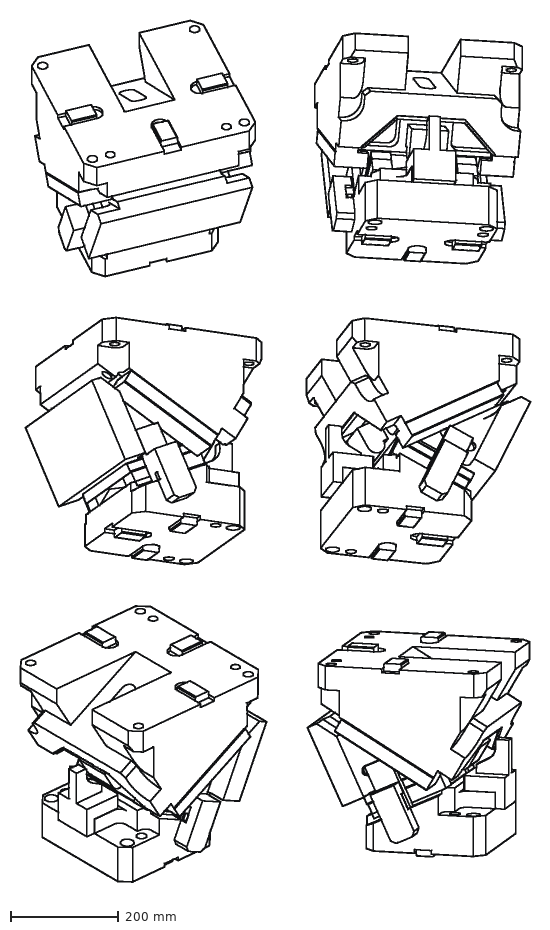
import cadquery as cq
import math


GUIDE_ANGLE = math.radians(30)
CAM_ANGLE = math.radians(25)
BIG = 744.0

TOTAL_HEIGHT = 372.0
KEY_HEIGHT = 7.8
KEY_DEPTH = 7.0
KEY_WIDTH = 33.5
KEY_LENGTH = 50.0
KEY_BEVEL = 2.0
CORNER_CHAMFER = 19.5
POCKET_RADIUS = 16.0

HOLDER_X_MIN = 4.0
HOLDER_X_MAX = 329.5
HOLDER_HALF_WIDTH = 170.0
HOLDER_TOP = TOTAL_HEIGHT - KEY_HEIGHT
FLANGE_THICKNESS = 45.5
BOLT_POCKET_LENGTH = 45.8
BOLT_POCKET_INNER_Y = 130.0

GUIDE_ORIGIN = (66.0, 0, 160.5)
LIP_THICKNESS = 32.0
LIP_TOP_V = 108.5
LIP_CHAMFER_LENGTH = 8.5
LIP_CHAMFER_INSET = 10.0
SCALLOP_RADIUS = 34.5
SCALLOP_DROP = 24.0
SCALLOP_CENTRE_V = LIP_TOP_V - SCALLOP_DROP
STRIP_TOP_V = -15.5
STRIP_BOTTOM_V = -44.3
STRIP_END_U = 237.0
STRIP_INNER_Y = 107.0
STRIP_BEVEL = 1.5
STOP_U = 247.5
STOP_BOTTOM_V = -25.5
ENTRY_ROOF_V = 65.0
ENTRY_DEPTH = 3.7
ROOF_V = 58.0
ROOF_HALF_WIDTH = 63.5
FLANK_HALF_WIDTH = 127.0
HOLDER_FRONT_HOLE_X = 29.8
HOLDER_REAR_HOLE_X = 304.3
HOLDER_BOLT_Y = 150.3
HOLDER_BOLT_RADIUS = 9.3
HOLDER_DOWEL_Y = 115.0
HOLDER_DOWEL_RADIUS = 8.5
HOLDER_KEY_X = 185.0
HOLDER_SIDE_KEY_GAP = 15.5
HOLDER_REAR_KEY_GAP = 20.5
TROUGH_HALF_WIDTH = 49.5
TROUGH_SLOT_U = 110.5
TROUGH_SLOT_LENGTH = 100.5
TROUGH_SLOT_WIDTH = 30.5
TROUGH_SLOT_DEPTH = 41.5

CAM_ORIGIN = (150.3, 0, 156.5)
SLIDE_FRONT_U = 48.5
SLIDE_REAR_U = 235.0
SLIDE_REAR_FILLET = 15.0
SLIDE_HALF_WIDTH = 106.5
PLATE_HALF_WIDTH = 150.0
PLATE_FRONT_P = 100.8
PLATE_REAR_P = 146.2
PLATE_HEIGHT = 161.0
PLATE_FILLET = 14.5
PLATE_SHOULDER_V = -56.5
PAD_THICKNESS = 18.5
PAD_HALF_WIDTH = 99.7
PAD_FRONT_P = -37.2
PAD_REAR_P = 118.0
RELIEF_HALF_WIDTH = 62.0
RELIEF_DEPTH = 6.0
PAD_BEVEL = 2.0
RIDGE_Q = -21.5
VALLEY_Q = -37.2
NOSE_HALF_WIDTH = 35.0
NOSE_FRONT_U = 3.5
NOSE_THICKNESS = 35.0
NOSE_TOP_V = 41.3
NOSE_TIP_V = -18.2
FRONT_POCKET_INNER_Y = 50.2
FRONT_POCKET_FLOOR_V = -3.7
FRONT_POCKET_DEPTH = 34.5

HOOK_FRONT_P = 34.5
HOOK_REAR_P = 84.5
HOOK_TOP_Q = 50.5
HOOK_BOTTOM_Q = -102.0
HOOK_INNER_Y = 103.0
HOOK_UPPER_Y = 121.5
HOOK_OUTER_Y = 159.5
HOOK_CORNER = 8.0
HOOK_RECESS_DEPTH = 6.0
HOOK_RECESS_TOP_Q = -22.5
HOOK_RECESS_OUTER_Y = 137.5
CORNER_RELIEF_RADIUS = 9.5
CORNER_RELIEF_DEPTH = 7.5
REAR_RELIEF_SHIFT = 2.5
HOOK_GROOVE_TOP_Q = -39.0
HOOK_GROOVE_OUTER_Y = 133.5

DRIVER_X_MIN = 18.2
DRIVER_X_MAX = 249.2
DRIVER_HALF_WIDTH = 125.0
BASE_TOP = 83.5
CORE_TOP = 128.7
CORE_HALF_WIDTH = 101.0
REAR_LIP_INNER_Y = 100.5
WALL_X = 83.0
WALL_HALF_WIDTH = 88.0
BAY_X = 104.5
CORE_Q = -47.2
SIDE_Q = -53.2
REAR_LIP_Q = -38.0
REAR_LIP_P = 59.5
GUIDE_REAR_P = 116.0
BLOCK_X_MAX = 80.0
BLOCK_TOP = 143.0
BLOCK_HALF_WIDTH = 39.8
BLOCK_CHAMFER = 3.0
BOSS_HALF_WIDTH = 40.5
BOSS_TOP = 114.2
RIB_HALF_WIDTH = 10.5
RIB_TOP = 208.7
RIB_TIP_X = 25.5
RIB_TIP_CHAMFER = 2.0
RIB_CURVE = [(RIB_TIP_X, 198.5), (28.5, 182.5), (39.8, 171.0)]
RIB_FOOT_X = 63.0
RIB_FOOT_Z = 159.0
STEP_HOLE_Y = 105.5
STEP_BOLT_X = 41.5
STEP_BOLT_RADIUS = 12.5
STEP_DOWEL_X = 77.5
STEP_DOWEL_RADIUS = 9.5
DRIVER_KEY_X = 134.5
DRIVER_SIDE_KEY_GAP = 14.5
DRIVER_REAR_KEY_GAP = 20.0

GUIDE_U = (math.cos(GUIDE_ANGLE), 0, math.sin(GUIDE_ANGLE))
GUIDE_V = (-math.sin(GUIDE_ANGLE), 0, math.cos(GUIDE_ANGLE))
CAM_P = (math.cos(CAM_ANGLE), 0, -math.sin(CAM_ANGLE))
CAM_Q = (math.sin(CAM_ANGLE), 0, math.cos(CAM_ANGLE))

SIDE = cq.Plane.XZ()
GUIDE_SIDE = cq.Plane(origin=GUIDE_ORIGIN, xDir=GUIDE_U, normal=(0, -1, 0))
GUIDE_SECTION = cq.Plane(origin=GUIDE_ORIGIN, xDir=(0, 1, 0), normal=GUIDE_U)
GUIDE_PLAN = cq.Plane(origin=GUIDE_ORIGIN, xDir=GUIDE_U, normal=GUIDE_V)
CAM_SIDE = cq.Plane(origin=CAM_ORIGIN, xDir=CAM_P, normal=(0, -1, 0))
CAM_SECTION = cq.Plane(origin=CAM_ORIGIN, xDir=(0, 1, 0), normal=CAM_P)
CAM_PLAN = cq.Plane(origin=CAM_ORIGIN, xDir=CAM_P, normal=CAM_Q)


def slab(plane, left, right, bottom, top, half_width):
    """Rectangular bar drawn on a side plane and centred on Y = 0."""
    sketch = cq.Workplane(plane).moveTo((left + right) / 2, (bottom + top) / 2)
    return sketch.rect(right - left, top - bottom).extrude(half_width, both=True)


def side_bar(plane, left, right, bottom, top, inner_y, outer_y):
    """Rectangular bar drawn on a side plane, on the -Y flank only."""
    bar = slab(plane, left, right, bottom, top, (outer_y - inner_y) / 2)
    return bar.translate((0, -(inner_y + outer_y) / 2, 0))


def both_flanks(shape):
    return shape.union(shape.mirror("XZ"))


def guide_xz(u, v):
    """X and Z of a point given in the guide frame."""
    x = GUIDE_ORIGIN[0] + u * GUIDE_U[0] + v * GUIDE_V[0]
    z = GUIDE_ORIGIN[2] + u * GUIDE_U[2] + v * GUIDE_V[2]
    return (x, z)


def key_and_slot(face_z, outward, edge_point, turn, edge_gap):
    """Key and its slot, running inwards (+X before the turn) from an edge of a mounting face."""
    slot_end = edge_gap + KEY_LENGTH
    slot = cq.Workplane("XY").center(slot_end / 2, 0).rect(slot_end, KEY_WIDTH)
    slot = slot.extrude(KEY_DEPTH)
    slot = slot.union(cq.Workplane("XY").center(slot_end, 0).circle(KEY_WIDTH / 2).extrude(KEY_DEPTH))
    key = cq.Workplane("XY").center(edge_gap + KEY_LENGTH / 2, 0).rect(KEY_LENGTH, KEY_WIDTH)
    key = key.extrude(KEY_DEPTH + KEY_HEIGHT).faces(">Z").edges("|X").chamfer(KEY_BEVEL)
    placed = []
    for shape in (slot, key):
        if outward < 0:
            shape = shape.mirror("XY")
        shape = shape.rotate((0, 0, 0), (0, 0, 1), turn)
        placed.append(shape.translate((*edge_point, face_z - outward * KEY_DEPTH)))
    return placed


def add_keys(body, face_z, outward, side_x, half_width, side_gap, rear_x, rear_gap):
    """Fit one key on each flank and one at the rear of a mounting face."""
    seats = [((side_x, -half_width), 90, side_gap),
             ((side_x, half_width), -90, side_gap),
             ((rear_x, 0), 180, rear_gap)]
    for edge_point, turn, gap in seats:
        slot, key = key_and_slot(face_z, outward, edge_point, turn, gap)
        body = body.cut(slot).union(key)
    return body


def guide_way(u_start, u_end, roof_v):
    """Roofed guide section: 45 degree flanks, a flange below them and a neck between the strips."""
    flank_end_v = roof_v - (FLANK_HALF_WIDTH - ROOF_HALF_WIDTH)
    right_half = [(ROOF_HALF_WIDTH, roof_v), (FLANK_HALF_WIDTH, flank_end_v),
                  (FLANK_HALF_WIDTH, STRIP_TOP_V), (STRIP_INNER_Y, STRIP_TOP_V),
                  (STRIP_INNER_Y, STRIP_BOTTOM_V)]
    left_half = [(-y, v) for y, v in reversed(right_half)]
    section = cq.Workplane(GUIDE_SECTION).workplane(offset=u_start)
    return section.polyline(right_half + left_half).close().extrude(u_end - u_start)


def holder_block():
    """Main casting with the four chamfered corners and the bolt pockets below the flange."""
    slope_top_v = (GUIDE_ORIGIN[0] + LIP_THICKNESS * GUIDE_U[0] - HOLDER_X_MIN) / -GUIDE_V[0]
    stop_end_u = (HOLDER_X_MAX - GUIDE_ORIGIN[0] - STOP_BOTTOM_V * GUIDE_V[0]) / GUIDE_U[0]
    profile = [(HOLDER_X_MIN, HOLDER_TOP), guide_xz(LIP_THICKNESS, slope_top_v),
               guide_xz(LIP_THICKNESS, STRIP_TOP_V), guide_xz(STOP_U, STRIP_TOP_V),
               guide_xz(STOP_U, STOP_BOTTOM_V), guide_xz(stop_end_u, STOP_BOTTOM_V),
               (HOLDER_X_MAX, HOLDER_TOP)]
    block = cq.Workplane(SIDE).polyline(profile).close().extrude(HOLDER_HALF_WIDTH, both=True)

    length = HOLDER_X_MAX - HOLDER_X_MIN
    middle_x = (HOLDER_X_MAX + HOLDER_X_MIN) / 2
    envelope = cq.Workplane("XY").center(middle_x, 0).rect(length, 2 * HOLDER_HALF_WIDTH)
    envelope = envelope.extrude(TOTAL_HEIGHT).edges("|Z").chamfer(CORNER_CHAMFER)
    block = block.intersect(envelope)

    pocket_top = HOLDER_TOP - FLANGE_THICKNESS
    reach = 2 * BOLT_POCKET_LENGTH
    for side_x in (-1, 1):
        for side_y in (-1, 1):
            wall_x = middle_x + side_x * (length / 2 - BOLT_POCKET_LENGTH)
            pocket = cq.Workplane("XY").center(wall_x + side_x * reach / 2,
                                               side_y * (BOLT_POCKET_INNER_Y + reach / 2))
            pocket = pocket.rect(reach, reach).extrude(pocket_top).edges("|Z").fillet(POCKET_RADIUS)
            block = block.cut(pocket)
    return block


def lip():
    """Front lip on the sloping face with chamfered ends and a concave scallop at each bolt pocket."""
    shoulder_y = BOLT_POCKET_INNER_Y
    chamfer_v = LIP_TOP_V - LIP_CHAMFER_LENGTH
    scallop_bottom_v = SCALLOP_CENTRE_V - SCALLOP_RADIUS
    centre_y = shoulder_y + SCALLOP_RADIUS
    diagonal = SCALLOP_RADIUS * math.sqrt(0.5)
    arc_middle = (centre_y - diagonal, SCALLOP_CENTRE_V - diagonal)
    half = (cq.Workplane(GUIDE_SECTION).moveTo(0, 0).lineTo(0, LIP_TOP_V)
            .lineTo(shoulder_y - LIP_CHAMFER_INSET, LIP_TOP_V)
            .lineTo(shoulder_y, chamfer_v).lineTo(shoulder_y, SCALLOP_CENTRE_V)
            .threePointArc(arc_middle, (centre_y, scallop_bottom_v))
            .lineTo(HOLDER_HALF_WIDTH, scallop_bottom_v).lineTo(HOLDER_HALF_WIDTH, 0)
            .close().extrude(LIP_THICKNESS))
    return both_flanks(half)


def guide_strips():
    """Strips that retain the slide flanges."""
    strip = side_bar(GUIDE_SIDE, LIP_THICKNESS, STRIP_END_U, STRIP_BOTTOM_V, STRIP_TOP_V,
                     STRIP_INNER_Y, HOLDER_HALF_WIDTH)
    strip = strip.faces("<Y").edges(cq.selectors.ParallelDirSelector(cq.Vector(GUIDE_U)))
    return both_flanks(strip.chamfer(STRIP_BEVEL))


def holder_trough():
    """Inclined trough level with the top of the lip, with a blind slot in its floor."""
    trough = slab(GUIDE_SIDE, -BIG, BIG, LIP_TOP_V, LIP_TOP_V + BIG, TROUGH_HALF_WIDTH)
    slot = cq.Workplane(GUIDE_PLAN).workplane(offset=LIP_TOP_V).center(TROUGH_SLOT_U, 0)
    slot = slot.slot2D(TROUGH_SLOT_LENGTH, TROUGH_SLOT_WIDTH).extrude(-TROUGH_SLOT_DEPTH)
    return trough.union(slot)


def holder_holes():
    """Bolt holes through the flange corners and two dowel holes through the rear stop."""
    bolts = [(x, side * HOLDER_BOLT_Y)
             for x in (HOLDER_FRONT_HOLE_X, HOLDER_REAR_HOLE_X) for side in (-1, 1)]
    dowels = [(HOLDER_REAR_HOLE_X, side * HOLDER_DOWEL_Y) for side in (-1, 1)]
    top = cq.Workplane("XY").workplane(offset=HOLDER_TOP)
    holes = top.pushPoints(bolts).circle(HOLDER_BOLT_RADIUS).extrude(-BIG)
    return holes.union(top.pushPoints(dowels).circle(HOLDER_DOWEL_RADIUS).extrude(-BIG))


def make_holder():
    body = holder_block().union(lip())
    body = body.cut(guide_way(0, ENTRY_DEPTH, ENTRY_ROOF_V))
    body = body.cut(guide_way(ENTRY_DEPTH, STOP_U, ROOF_V)).union(guide_strips())
    body = body.cut(holder_trough()).cut(holder_holes())
    return add_keys(body, HOLDER_TOP, 1, HOLDER_KEY_X, HOLDER_HALF_WIDTH, HOLDER_SIDE_KEY_GAP,
                    HOLDER_X_MAX, HOLDER_REAR_KEY_GAP)


def slide_carriage():
    """Upper part that fills the guide, trimmed to the cam plane, with two open front pockets."""
    carriage = guide_way(SLIDE_FRONT_U, SLIDE_REAR_U, ROOF_V)
    carriage = carriage.cut(slab(CAM_SIDE, -BIG, BIG, -BIG, 0, BIG))
    width = FLANK_HALF_WIDTH + POCKET_RADIUS
    height = ROOF_V + 2 * POCKET_RADIUS
    pocket = cq.Workplane(GUIDE_SECTION).workplane(offset=SLIDE_FRONT_U)
    pocket = pocket.center(FRONT_POCKET_INNER_Y + width / 2, FRONT_POCKET_FLOOR_V + height / 2)
    pocket = pocket.rect(width, height).extrude(FRONT_POCKET_DEPTH)
    along_u = cq.selectors.ParallelDirSelector(cq.Vector(GUIDE_U))
    return carriage.cut(both_flanks(pocket.edges(along_u).fillet(POCKET_RADIUS)))


def slide_wedge():
    """Wedge between guide and cam, widening through fillets into the rear plate."""
    tangent_p = PLATE_FRONT_P - PLATE_FILLET
    fillet_y = SLIDE_HALF_WIDTH + PLATE_FILLET
    diagonal = PLATE_FILLET * math.sqrt(0.5)
    half = (cq.Workplane(CAM_PLAN).moveTo(PAD_FRONT_P, 0).lineTo(PAD_FRONT_P, SLIDE_HALF_WIDTH)
            .lineTo(tangent_p, SLIDE_HALF_WIDTH)
            .threePointArc((tangent_p + diagonal, fillet_y - diagonal), (PLATE_FRONT_P, fillet_y))
            .lineTo(PLATE_FRONT_P, PLATE_HALF_WIDTH).lineTo(PLATE_REAR_P, PLATE_HALF_WIDTH)
            .lineTo(PLATE_REAR_P, 0).close().extrude(PLATE_HEIGHT))
    wedge = both_flanks(half).cut(slab(GUIDE_SIDE, -BIG, BIG, STRIP_BOTTOM_V, BIG, BIG))
    fillet_shoulder = side_bar(GUIDE_SIDE, -BIG, BIG, PLATE_SHOULDER_V, BIG, SLIDE_HALF_WIDTH, BIG)
    plate_shoulder = side_bar(GUIDE_SIDE, -BIG, BIG, PLATE_SHOULDER_V, BIG, STRIP_INNER_Y, BIG)
    plate_zone = slab(CAM_SIDE, PLATE_FRONT_P, BIG, -BIG, BIG, BIG)
    return wedge.cut(both_flanks(fillet_shoulder.union(plate_shoulder.intersect(plate_zone))))


def slide_rear_fillet():
    """Concave fillet from the rear of the carriage onto the top of the wedge."""
    radius = SLIDE_REAR_FILLET
    diagonal = radius * (1 - math.sqrt(0.5))
    corner = cq.Workplane(GUIDE_SIDE).moveTo(SLIDE_REAR_U, STRIP_BOTTOM_V)
    corner = corner.lineTo(SLIDE_REAR_U + radius, STRIP_BOTTOM_V)
    corner = corner.threePointArc((SLIDE_REAR_U + diagonal, STRIP_BOTTOM_V + diagonal),
                                  (SLIDE_REAR_U, STRIP_BOTTOM_V + radius))
    return corner.close().extrude(STRIP_INNER_Y, both=True)


def slide_nose():
    """Tab with a rounded tip in front of the carriage."""
    radius = NOSE_THICKNESS / 2
    back_u = NOSE_FRONT_U + NOSE_THICKNESS
    centre_v = NOSE_TIP_V + radius
    tab = slab(GUIDE_SIDE, NOSE_FRONT_U, back_u, centre_v, NOSE_TOP_V, NOSE_HALF_WIDTH)
    tip = cq.Workplane(GUIDE_SIDE).center(NOSE_FRONT_U + radius, centre_v).circle(radius)
    neck = slab(GUIDE_SIDE, back_u, SLIDE_FRONT_U, centre_v, NOSE_TOP_V, NOSE_HALF_WIDTH)
    return tab.union(tip.extrude(NOSE_HALF_WIDTH, both=True)).union(neck)


def cam_bar(top_q, bottom_q, rear_p):
    """Bar along the cam whose front face is relieved between the two running tracks."""
    bar = slab(CAM_SIDE, PAD_FRONT_P, rear_p, bottom_q, top_q, PAD_HALF_WIDTH)
    relief_end = PAD_FRONT_P + RELIEF_DEPTH
    return bar.cut(slab(CAM_SIDE, PAD_FRONT_P, relief_end, bottom_q, top_q, RELIEF_HALF_WIDTH))


def ridge_gap():
    """Space between the running tracks, above the shallow ridge of the driver."""
    section = cq.Workplane(CAM_SECTION).workplane(offset=PAD_FRONT_P + RELIEF_DEPTH)
    outline = [(-RELIEF_HALF_WIDTH, -PAD_THICKNESS), (-RELIEF_HALF_WIDTH, VALLEY_Q), (0, RIDGE_Q),
               (RELIEF_HALF_WIDTH, VALLEY_Q), (RELIEF_HALF_WIDTH, -PAD_THICKNESS)]
    return section.polyline(outline).close().extrude(GUIDE_REAR_P - PAD_FRONT_P - RELIEF_DEPTH)


def slide_pad():
    """Wear pad with bevelled lower edges and a keel that rides on the ridge of the driver."""
    pad = cam_bar(0, -PAD_THICKNESS, PAD_REAR_P)
    pad = pad.faces("<Y or >Y").edges(cq.selectors.ParallelDirSelector(cq.Vector(CAM_P)))
    return pad.chamfer(PAD_BEVEL).union(ridge_gap())


def slide_hooks():
    """Hooks on the slide flanks that reach down over the driver, recessed on the inside."""
    upper = side_bar(CAM_SIDE, HOOK_FRONT_P, HOOK_REAR_P, 0, HOOK_TOP_Q, HOOK_INNER_Y, HOOK_UPPER_Y)
    bridge = side_bar(CAM_SIDE, HOOK_FRONT_P, HOOK_REAR_P, SIDE_Q, 0, HOOK_INNER_Y, HOOK_OUTER_Y)
    claw = side_bar(CAM_SIDE, HOOK_FRONT_P, HOOK_REAR_P, HOOK_BOTTOM_Q, 0,
                    DRIVER_HALF_WIDTH, HOOK_OUTER_Y)
    claw = claw.faces(cq.selectors.DirectionMinMaxSelector(cq.Vector(CAM_Q), False))
    claw = claw.edges("|Y").chamfer(HOOK_CORNER)
    recess_end_p = HOOK_FRONT_P + HOOK_RECESS_DEPTH
    recess = side_bar(CAM_SIDE, HOOK_FRONT_P, recess_end_p, SIDE_Q, HOOK_RECESS_TOP_Q,
                      DRIVER_HALF_WIDTH, HOOK_RECESS_OUTER_Y)
    groove = side_bar(CAM_SIDE, HOOK_FRONT_P, HOOK_REAR_P, SIDE_Q, HOOK_GROOVE_TOP_Q,
                      DRIVER_HALF_WIDTH, HOOK_GROOVE_OUTER_Y)
    gap = side_bar(CAM_SIDE, HOOK_FRONT_P, recess_end_p, SIDE_Q, 0, HOOK_UPPER_Y, DRIVER_HALF_WIDTH)
    return both_flanks(upper.union(bridge).union(claw).cut(recess).cut(groove).cut(gap))


def hook_reliefs():
    """Shallow round corner reliefs in the slide flanks beside the hooks."""
    relief_q = HOOK_TOP_Q - CORNER_RELIEF_RADIUS
    corners = [(HOOK_FRONT_P, relief_q), (HOOK_REAR_P + REAR_RELIEF_SHIFT, relief_q)]
    relief = cq.Workplane(CAM_SIDE).pushPoints(corners).circle(CORNER_RELIEF_RADIUS)
    relief = relief.extrude(CORNER_RELIEF_DEPTH + PLATE_FILLET)
    return both_flanks(relief.translate((0, CORNER_RELIEF_DEPTH - SLIDE_HALF_WIDTH, 0)))


def make_slide():
    body = slide_carriage().union(slide_wedge()).union(slide_rear_fillet()).union(slide_nose())
    body = body.union(slide_pad())
    return body.cut(hook_reliefs()).union(slide_hooks())


def driver_base():
    """Base block with chamfered corners and an inclined top that ends in a rear lip."""
    length = DRIVER_X_MAX - DRIVER_X_MIN
    base = cq.Workplane("XY").workplane(offset=KEY_HEIGHT).center(DRIVER_X_MIN + length / 2, 0)
    base = base.rect(length, 2 * DRIVER_HALF_WIDTH).extrude(CORE_TOP - KEY_HEIGHT)
    base = base.edges("|Z").chamfer(CORNER_CHAMFER)
    base = base.cut(slab(CAM_SIDE, -BIG, REAR_LIP_P, CORE_Q, BIG, BIG))
    base = base.cut(slab(CAM_SIDE, REAR_LIP_P, BIG, REAR_LIP_Q, BIG, BIG))
    lip_step = side_bar(CAM_SIDE, REAR_LIP_P, GUIDE_REAR_P, CORE_Q, BIG, REAR_LIP_INNER_Y, BIG)
    base = base.cut(both_flanks(lip_step))
    return base.cut(both_flanks(side_bar(CAM_SIDE, -BIG, BIG, SIDE_Q, BIG, CORE_HALF_WIDTH, BIG)))


def driver_front_step():
    """Space above the front step: a straight wall with a round-cornered bay at each flank."""
    centre_x = BAY_X - POCKET_RADIUS
    centre_y = WALL_HALF_WIDTH + POCKET_RADIUS
    diagonal = POCKET_RADIUS * math.sqrt(0.5)
    half = (cq.Workplane("XY").workplane(offset=BASE_TOP).moveTo(-BIG, 0).lineTo(WALL_X, 0)
            .lineTo(WALL_X, WALL_HALF_WIDTH).lineTo(centre_x, WALL_HALF_WIDTH)
            .threePointArc((centre_x + diagonal, centre_y - diagonal), (BAY_X, centre_y))
            .lineTo(BAY_X, BIG).lineTo(-BIG, BIG).close().extrude(BIG))
    return both_flanks(half)


def driver_boss():
    """Low boss that blends into the wall through concave fillets."""
    tangent_x = WALL_X - POCKET_RADIUS
    tangent_y = BOSS_HALF_WIDTH + POCKET_RADIUS
    diagonal = POCKET_RADIUS * math.sqrt(0.5)
    half = (cq.Workplane("XY").workplane(offset=BASE_TOP).moveTo(DRIVER_X_MIN, 0).lineTo(WALL_X, 0)
            .lineTo(WALL_X, tangent_y)
            .threePointArc((tangent_x + diagonal, tangent_y - diagonal), (tangent_x, BOSS_HALF_WIDTH))
            .lineTo(DRIVER_X_MIN, BOSS_HALF_WIDTH).close().extrude(BOSS_TOP - BASE_TOP))
    return both_flanks(half)


def driver_stop():
    """Front block that overhangs the base, with a curved rib on top."""
    block = slab(SIDE, 0, BLOCK_X_MAX, BASE_TOP, BLOCK_TOP, BLOCK_HALF_WIDTH)
    block = block.faces(">X").edges("|Z").chamfer(BLOCK_CHAMFER)
    rib = (cq.Workplane(SIDE).moveTo(0, BLOCK_TOP).lineTo(0, RIB_TOP)
           .lineTo(RIB_TIP_X - RIB_TIP_CHAMFER, RIB_TOP).lineTo(RIB_TIP_X, RIB_TOP - RIB_TIP_CHAMFER)
           .lineTo(*RIB_CURVE[0]).threePointArc(*RIB_CURVE[1:])
           .lineTo(RIB_FOOT_X, RIB_FOOT_Z).lineTo(RIB_FOOT_X, BLOCK_TOP)
           .close().extrude(RIB_HALF_WIDTH, both=True))
    return block.union(rib)


def driver_holes():
    """Bolt and dowel holes in the front step."""
    step = cq.Workplane("XY").workplane(offset=BASE_TOP)
    holes = cq.Workplane("XY")
    for x, radius in ((STEP_BOLT_X, STEP_BOLT_RADIUS), (STEP_DOWEL_X, STEP_DOWEL_RADIUS)):
        pair = step.pushPoints([(x, STEP_HOLE_Y), (x, -STEP_HOLE_Y)])
        holes = holes.add(pair.circle(radius).extrude(-BASE_TOP))
    return holes.combine()


def make_driver():
    body = driver_base().cut(driver_front_step()).union(driver_boss()).union(driver_stop())
    body = body.union(cam_bar(-PAD_THICKNESS, CORE_Q, GUIDE_REAR_P)).cut(ridge_gap()).cut(driver_holes())
    return add_keys(body, KEY_HEIGHT, -1, DRIVER_KEY_X, DRIVER_HALF_WIDTH, DRIVER_SIDE_KEY_GAP,
                    DRIVER_X_MAX, DRIVER_REAR_KEY_GAP)


holder = make_holder()
slide = make_slide()
driver = make_driver()
result = cq.Compound.makeCompound([body.solids().val() for body in (holder, slide, driver)])